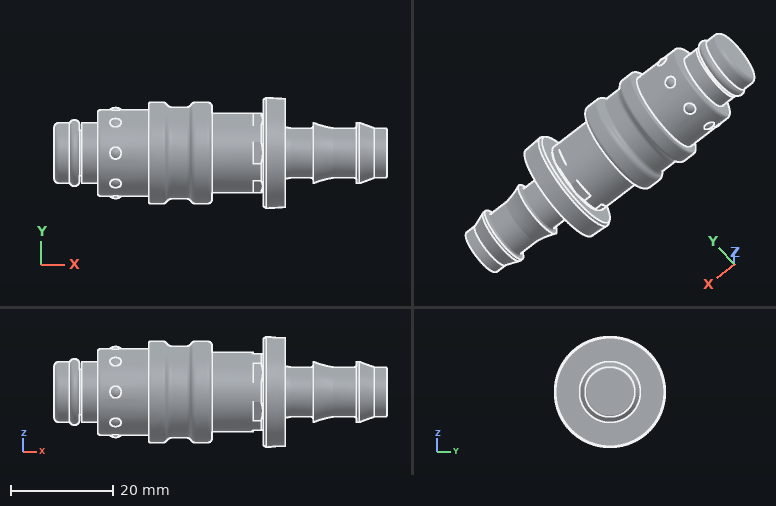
import cadquery as cq
import math

LENGTH = 65.3

NOSE_R = 11.95 / 2
NOSE_FILLET = 1.05
GROOVE_R = 9.0 / 2
GROOVE_START = 3.0
GROOVE_END = 5.4

RING_CENTRE_R = 11.05 / 2
RING_SECTION_R = RING_CENTRE_R - GROOVE_R
RING_X = GROOVE_START + RING_SECTION_R

SLEEVE_R = 17 / 2
SLEEVE_START = 8.55
SLEEVE_FILLET = 0.6
BALL_X = 12.1
BALL_COUNT = 8
BALL_SPOT_R = 1.2
BALL_HEIGHT = 0.5

COLLAR_R = 20.0 / 2
NECK_R = 18.0 / 2
FRONT_COLLAR_START = 18.55
FRONT_COLLAR_FILLET = 0.45
FRONT_COLLAR_LAND_END = 21.3
SWEEP_INFLECTION_X = 22.1
NECK_START = 23.1
NECK_END = 26.05
REAR_COLLAR_START = 26.85
REAR_COLLAR_END = 31.0
REAR_ROUND_LENGTH = 1.0
REAR_ROUND_DEPTH = 0.5

BODY_R = 15.6 / 2
FLATS_START = 39.05
FLAT_DISTANCE = 7.5
FLAT_COUNT = 6
FIRST_FLAT_ANGLE = 30
BODY_CHAMFER = 0.4

FLANGE_START = 41.0
FLANGE_END = 45.4
FLANGE_R = 21.75 / 2
FLANGE_BACK_R = 21.3 / 2
FLANGE_CHAMFER = 0.6
FLANGE_CHAMFER_DEPTH = 0.4

TAIL_R = 9.8 / 2
BOSS_R = 10.2 / 2
BOSS_END = 46.35
BARB_R = 11.95 / 2
BARB_ROOT_FILLET = 0.4
FIRST_BARB_X = 50.8
FIRST_BARB_END = 54.7
FIRST_BARB_SAG = 0.1
SECOND_BARB_X = 59.3
SECOND_BARB_LAND = 0.6
SECOND_BARB_END = 62.8
TAIL_FILLET = 0.4

DIAGONAL = math.sqrt(0.5)


def convex_start(path, x, radius, fillet):
    """Rise from a face at x to the given radius through a quarter-round."""
    return path.lineTo(x, radius - fillet).threePointArc(
        (x + fillet * (1 - DIAGONAL), radius - fillet * (1 - DIAGONAL)),
        (x + fillet, radius),
    )


def draw_front(path):
    """Nose, seal groove and sleeve."""
    path = convex_start(path, 0, NOSE_R, NOSE_FILLET)
    path = path.lineTo(GROOVE_START, NOSE_R).lineTo(GROOVE_START, GROOVE_R)
    path = path.lineTo(GROOVE_END, GROOVE_R).lineTo(GROOVE_END, NOSE_R)
    path = path.lineTo(SLEEVE_START, NOSE_R)
    path = convex_start(path, SLEEVE_START, SLEEVE_R, SLEEVE_FILLET)
    return path.lineTo(FRONT_COLLAR_START, SLEEVE_R)


def draw_grip(path):
    """Front collar sweeping down to the neck, then the rounded rear collar."""
    path = convex_start(path, FRONT_COLLAR_START, COLLAR_R, FRONT_COLLAR_FILLET)
    path = path.lineTo(FRONT_COLLAR_LAND_END, COLLAR_R)

    sweep_share = (SWEEP_INFLECTION_X - FRONT_COLLAR_LAND_END) / (NECK_START - FRONT_COLLAR_LAND_END)
    inflection_r = COLLAR_R - sweep_share * (COLLAR_R - NECK_R)
    path = path.tangentArcPoint((SWEEP_INFLECTION_X, inflection_r), relative=False)
    path = path.tangentArcPoint((NECK_START, NECK_R), relative=False)

    shoulder_r = COLLAR_R - REAR_ROUND_DEPTH
    path = path.lineTo(NECK_END, NECK_R)
    path = path.tangentArcPoint((REAR_COLLAR_START, shoulder_r), relative=False)
    round_radius = (REAR_ROUND_LENGTH**2 + REAR_ROUND_DEPTH**2) / (2 * REAR_ROUND_DEPTH)
    path = path.radiusArc((REAR_COLLAR_START + REAR_ROUND_LENGTH, COLLAR_R), round_radius)
    path = path.lineTo(REAR_COLLAR_END - REAR_ROUND_LENGTH, COLLAR_R)
    path = path.tangentArcPoint((REAR_COLLAR_END, COLLAR_R - REAR_ROUND_LENGTH), relative=False)
    return path.lineTo(REAR_COLLAR_END, BODY_R)


def draw_body_and_flange(path):
    """Body with its end chamfer, and the flange with its tapered rim."""
    path = path.lineTo(FLANGE_START - BODY_CHAMFER, BODY_R)
    path = path.lineTo(FLANGE_START, BODY_R - BODY_CHAMFER)
    path = path.lineTo(FLANGE_START, FLANGE_R - FLANGE_CHAMFER_DEPTH)
    path = path.lineTo(FLANGE_START + FLANGE_CHAMFER, FLANGE_R)
    return path.lineTo(FLANGE_END, FLANGE_BACK_R)


def draw_barb_root(path, barb_x):
    """Concave fillet from the tail up to the steep face of a barb, then the crest."""
    path = path.lineTo(barb_x - BARB_ROOT_FILLET, TAIL_R)
    path = path.tangentArcPoint((barb_x, TAIL_R + BARB_ROOT_FILLET), relative=False)
    return path.lineTo(barb_x, BARB_R)


def draw_tail(path):
    """Hose tail with two barbs and a rounded end."""
    path = path.lineTo(FLANGE_END, BOSS_R).lineTo(BOSS_END, TAIL_R)
    path = draw_barb_root(path, FIRST_BARB_X)
    slope_middle = ((FIRST_BARB_X + FIRST_BARB_END) / 2, (BARB_R + TAIL_R) / 2 - FIRST_BARB_SAG)
    path = path.threePointArc(slope_middle, (FIRST_BARB_END, TAIL_R))
    path = draw_barb_root(path, SECOND_BARB_X)
    path = path.lineTo(SECOND_BARB_X + SECOND_BARB_LAND, BARB_R).lineTo(SECOND_BARB_END, TAIL_R)
    path = path.lineTo(LENGTH - TAIL_FILLET, TAIL_R)
    path = path.tangentArcPoint((LENGTH, TAIL_R - TAIL_FILLET), relative=False)
    return path.lineTo(LENGTH, 0)


def make_flat_cutter():
    """Ring between the wrench flats and the outside of the body."""
    flats_length = FLANGE_START - FLATS_START
    hexagon_circle = 2 * FLAT_DISTANCE / math.cos(math.pi / FLAT_COUNT)
    start_plane = cq.Workplane("YZ", origin=(FLATS_START, 0, 0))
    hexagon = start_plane.polygon(FLAT_COUNT, hexagon_circle).extrude(flats_length)
    hexagon = hexagon.rotate((0, 0, 0), (1, 0, 0), FIRST_FLAT_ANGLE - 180 / FLAT_COUNT)
    return start_plane.circle(FLANGE_R).extrude(flats_length).cut(hexagon)


def add_balls(coupling):
    """Caps of the locking balls standing proud of the sleeve."""
    ball_r = (BALL_SPOT_R**2 + BALL_HEIGHT**2) / (2 * BALL_HEIGHT)
    rim_distance = math.sqrt(SLEEVE_R**2 - BALL_SPOT_R**2)
    centre_distance = rim_distance + BALL_HEIGHT - ball_r
    for index in range(BALL_COUNT):
        ball = cq.Workplane("XY").sphere(ball_r).translate((BALL_X, 0, centre_distance))
        coupling = coupling.union(ball.rotate((0, 0, 0), (1, 0, 0), index * 360 / BALL_COUNT))
    return coupling


def make_coupling():
    path = cq.Workplane("XY").moveTo(0, 0)
    path = draw_front(path)
    path = draw_grip(path)
    path = draw_body_and_flange(path)
    path = draw_tail(path)
    coupling = path.close().revolve(360, (0, 0, 0), (1, 0, 0))
    return add_balls(coupling.cut(make_flat_cutter()))


def make_seal_ring():
    section = cq.Workplane("XY").center(RING_X, RING_CENTRE_R).circle(RING_SECTION_R)
    return section.revolve(360, (0, -RING_CENTRE_R, 0), (1, -RING_CENTRE_R, 0))


coupling = make_coupling()
seal_ring = make_seal_ring()
result = cq.Compound.makeCompound([coupling.val(), seal_ring.val()])